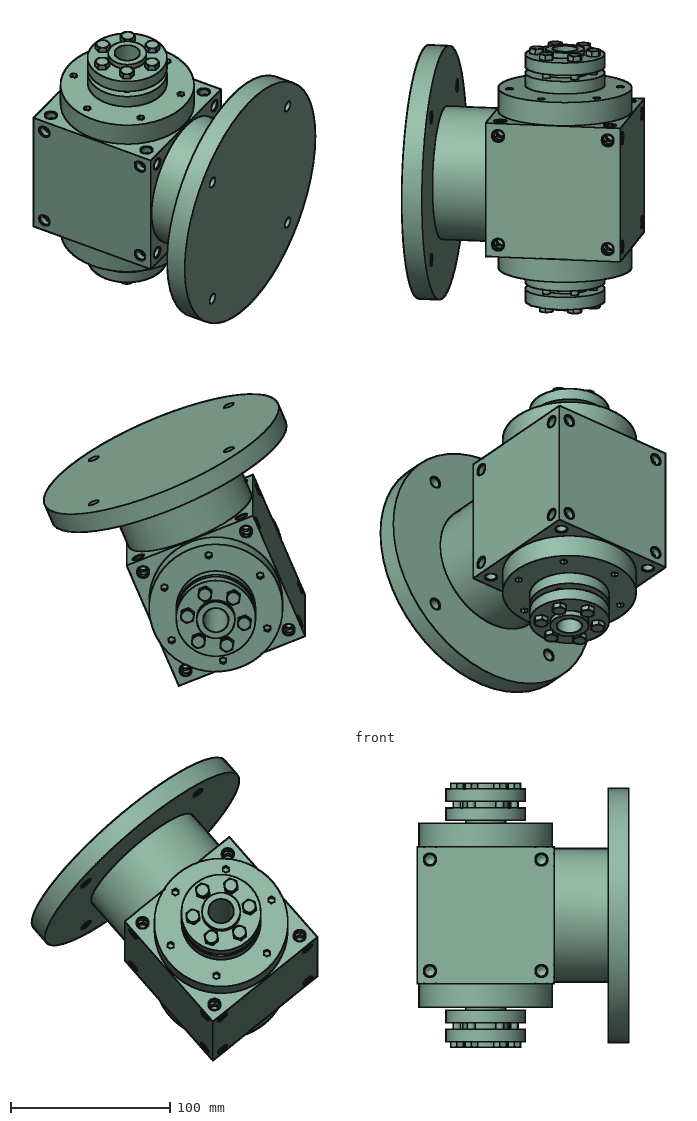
import cadquery as cq
import math


CUBE_SIDE = 86.0
COVER_DIAMETER = 84.0
COVER_THICKNESS = 15.0
TUBE_DIAMETER = COVER_DIAMETER
TUBE_LENGTH = 34.0
FLANGE_DIAMETER = 160.0
FLANGE_THICKNESS = 13.0
FLANGE_HOLE_CIRCLE = 130.0

TAP_DIAMETER = 6.8
TAP_CHAMFER = 0.58
TAP_DEPTH = 15.0
TAP_TIP_ANGLE = 118.0
TAP_SPACING = 70.0

SCREW_COUNT = 6
SCREW_CIRCLE = TAP_SPACING
SCREW_START_ANGLE = 15.0
SCREW_HEAD_DIAMETER = 8.5
SCREW_HEAD_HEIGHT = 5.0
SOCKET_FLATS = 4.0
SOCKET_DEPTH = 3.0

SHAFT_LENGTH = 166.0
SHAFT_DIAMETER = 25.0
SHAFT_END_DIAMETER = 24.0
SHAFT_BORE = 16.0

DISC_DIAMETER = 50.0
PLATE_THICKNESS = 8.0
PLATE_GAP = 4.0
CORE_DIAMETER = 29.0
BOLT_COUNT = 6
BOLT_CIRCLE = 36.0
BOLT_DIAMETER = 5.0
BOLT_HEAD_FLATS = 8.0
BOLT_HEAD_HEIGHT = 3.5
BOLT_HEAD_CHAMFER_ANGLE = 30.0

CUBE_HALF = CUBE_SIDE / 2
COVER_TOP = CUBE_HALF + COVER_THICKNESS
FLANGE_FACE = CUBE_HALF + TUBE_LENGTH
SHAFT_HALF = SHAFT_LENGTH / 2
DISC_TOP = SHAFT_HALF - BOLT_HEAD_HEIGHT
DISC_HEIGHT = 2 * PLATE_THICKNESS + PLATE_GAP
DISC_BOTTOM = DISC_TOP - DISC_HEIGHT


def cylinder(diameter, bottom, height):
    """Vertical cylinder on the Z axis."""
    return cq.Workplane("XY").workplane(offset=bottom).circle(diameter / 2).extrude(height)


def hexagon_prism(flats, bottom, height, vertex_angle):
    """Vertical hexagonal prism on the Z axis with a corner at the given angle from +X."""
    corner_diameter = flats / math.cos(math.radians(30))
    prism = cq.Workplane("XY").workplane(offset=bottom).polygon(6, corner_diameter).extrude(height)
    return prism.rotate((0, 0, 0), (0, 0, 1), vertex_angle)


def ring_of(shape, count, circle_diameter, start_angle):
    """Copies of a shape from the Z axis, turned to stand evenly on a circle."""
    first = shape.translate((circle_diameter / 2, 0, 0))
    return [
        first.rotate((0, 0, 0), (0, 0, 1), start_angle + index * 360 / count)
        for index in range(count)
    ]


def tapping_hole():
    """Cutter for one blind hole that enters the cube's top face on the Z axis."""
    radius = TAP_DIAMETER / 2
    tip_height = radius / math.tan(math.radians(TAP_TIP_ANGLE / 2))
    return (
        cq.Workplane("XZ")
        .moveTo(0, CUBE_HALF)
        .lineTo(radius + TAP_CHAMFER, CUBE_HALF)
        .lineTo(radius, CUBE_HALF - TAP_CHAMFER)
        .lineTo(radius, CUBE_HALF - TAP_DEPTH)
        .lineTo(0, CUBE_HALF - TAP_DEPTH - tip_height)
        .close()
        .revolve(360, (0, 0, 0), (0, 1, 0))
    )


def cut_tapping_holes(body):
    """Four holes near the corners of each of the six cube faces."""
    offset = TAP_SPACING / 2
    face_turns = [((0, 1, 0), angle) for angle in (0, 90, 180, 270)]
    face_turns += [((1, 0, 0), angle) for angle in (90, 270)]
    for axis, angle in face_turns:
        for x in (-offset, offset):
            for y in (-offset, offset):
                hole = tapping_hole().translate((x, y, 0))
                body = body.cut(hole.rotate((0, 0, 0), axis, angle))
    return body


def make_flange():
    """Tube and round flange on +X, with four through holes chamfered on the tube side."""
    hole_spacing = FLANGE_HOLE_CIRCLE / math.sqrt(2)
    tube = cq.Workplane("YZ").workplane(offset=CUBE_HALF).circle(TUBE_DIAMETER / 2).extrude(TUBE_LENGTH)
    plate = (
        cq.Workplane("YZ")
        .workplane(offset=FLANGE_FACE)
        .circle(FLANGE_DIAMETER / 2)
        .extrude(FLANGE_THICKNESS)
        .faces("<X")
        .workplane(origin=(FLANGE_FACE, 0, 0))
        .rect(hole_spacing, hole_spacing, forConstruction=True)
        .vertices()
        .cskHole(TAP_DIAMETER, TAP_DIAMETER + 2 * TAP_CHAMFER, 90)
    )
    return tube.union(plate)


def add_cover_screws(body):
    """Flush socket screws in both covers; their heads keep a visible outline."""
    head_seat = COVER_TOP - SCREW_HEAD_HEIGHT
    counterbore = cylinder(SCREW_HEAD_DIAMETER, head_seat, SCREW_HEAD_HEIGHT)
    socket = hexagon_prism(SOCKET_FLATS, COVER_TOP - SOCKET_DEPTH, SOCKET_DEPTH, 0)
    head = counterbore.cut(socket)
    for place in ring_of(counterbore, SCREW_COUNT, SCREW_CIRCLE, SCREW_START_ANGLE):
        body = body.cut(place).cut(place.mirror("XY"))
    for screw in ring_of(head, SCREW_COUNT, SCREW_CIRCLE, SCREW_START_ANGLE):
        body = body.union(screw, clean=False).union(screw.mirror("XY"), clean=False)
    return body


def make_housing():
    cube = cq.Workplane("XY").box(CUBE_SIDE, CUBE_SIDE, CUBE_SIDE)
    covers = cylinder(COVER_DIAMETER, -COVER_TOP, 2 * COVER_TOP)
    shaft_hole = cylinder(SHAFT_DIAMETER, -COVER_TOP, 2 * COVER_TOP)
    body = cube.union(covers).union(make_flange()).cut(shaft_hole)
    body = cut_tapping_holes(body)
    return add_cover_screws(body)


def make_shaft():
    """Hollow shaft whose ends step down where the shrink discs sit."""
    middle = cylinder(SHAFT_DIAMETER, -DISC_BOTTOM, 2 * DISC_BOTTOM)
    ends = cylinder(SHAFT_END_DIAMETER, -SHAFT_HALF, SHAFT_LENGTH)
    bore = cylinder(SHAFT_BORE, -SHAFT_HALF, SHAFT_LENGTH)
    return middle.union(ends).cut(bore)


def make_disc_bolt():
    """Shank across the plate gap and a hexagonal head with chamfered upper corners."""
    shank = cylinder(BOLT_DIAMETER, DISC_BOTTOM, DISC_HEIGHT)
    head = hexagon_prism(BOLT_HEAD_FLATS, DISC_TOP, BOLT_HEAD_HEIGHT, 90)
    top_radius = BOLT_HEAD_FLATS / 2
    spread = BOLT_HEAD_HEIGHT / math.tan(math.radians(BOLT_HEAD_CHAMFER_ANGLE))
    chamfer_cone = cq.Solid.makeCone(
        top_radius + spread, top_radius, BOLT_HEAD_HEIGHT, cq.Vector(0, 0, DISC_TOP)
    )
    return shank.union(head.intersect(cq.Workplane(chamfer_cone)))


def make_shrink_disc():
    """Upper shrink disc: two plates on a core, clamped by a ring of bolts."""
    disc = cylinder(CORE_DIAMETER, DISC_BOTTOM, DISC_HEIGHT)
    for bottom in (DISC_BOTTOM, DISC_TOP - PLATE_THICKNESS):
        disc = disc.union(cylinder(DISC_DIAMETER, bottom, PLATE_THICKNESS))
    for bolt in ring_of(make_disc_bolt(), BOLT_COUNT, BOLT_CIRCLE, 0):
        disc = disc.union(bolt)
    return disc.cut(cylinder(SHAFT_END_DIAMETER, DISC_BOTTOM, DISC_HEIGHT))


housing = make_housing()
shaft = make_shaft()
upper_disc = make_shrink_disc()
shrink_discs = [upper_disc, upper_disc.mirror("XY")]

bodies = [housing, shaft, *shrink_discs]

result = cq.Compound.makeCompound([body.solids().val() for body in bodies])